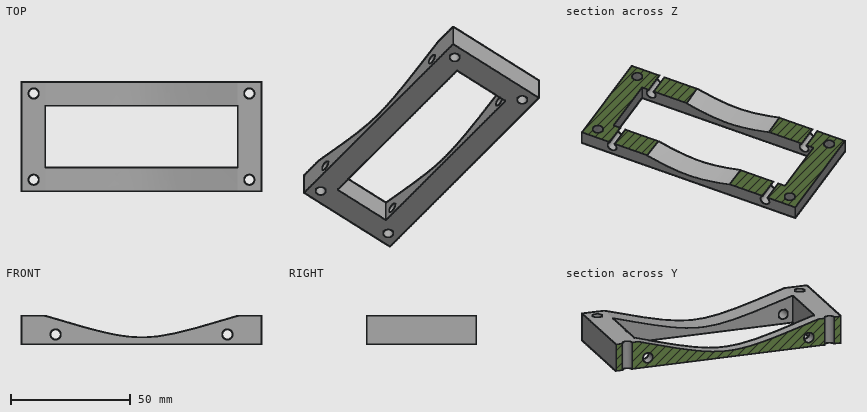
import cadquery as cq

length = 100.2
width = 45.75
height = 12.0
bar_width = 10.0

hole_diameter = 4.2
mount_spacing_x = 90.0
mount_spacing_y = 36.0
cross_spacing = 71.7
cross_height = 4.2

window_length = length - 2 * bar_width
window_width = width - 2 * bar_width
saddle_half_span = window_length / 2


def saddled_block():
    """Solid block whose top dips between the end blocks along a cubic Bezier curve.

    The doubled middle pole on the underside makes the end tangents aim at the
    centre of the underside and puts the lowest point at a quarter of the height.
    """
    saddle_poles = [
        (saddle_half_span, height),
        (0, 0),
        (0, 0),
        (-saddle_half_span, height),
    ]
    return (
        cq.Workplane("XZ")
        .moveTo(-length / 2, 0)
        .lineTo(length / 2, 0)
        .lineTo(length / 2, height)
        .lineTo(saddle_half_span, height)
        .bezier(saddle_poles)
        .lineTo(-length / 2, height)
        .close()
        .extrude(width / 2, both=True)
    )


def window():
    """Rectangular opening between the rails and the end blocks."""
    return cq.Workplane("XY").rect(window_length, window_width).extrude(height)


def mounting_holes():
    """Vertical through holes in the four corners."""
    return (
        cq.Workplane("XY")
        .rect(mount_spacing_x, mount_spacing_y, forConstruction=True)
        .vertices()
        .circle(hole_diameter / 2)
        .extrude(height)
    )


def cross_holes():
    """Holes along Y through both side rails, one near each end block."""
    return (
        cq.Workplane("XZ")
        .pushPoints([(side * cross_spacing / 2, cross_height) for side in (-1, 1)])
        .circle(hole_diameter / 2)
        .extrude(width / 2, both=True)
    )


result = saddled_block().cut(window()).cut(mounting_holes()).cut(cross_holes())